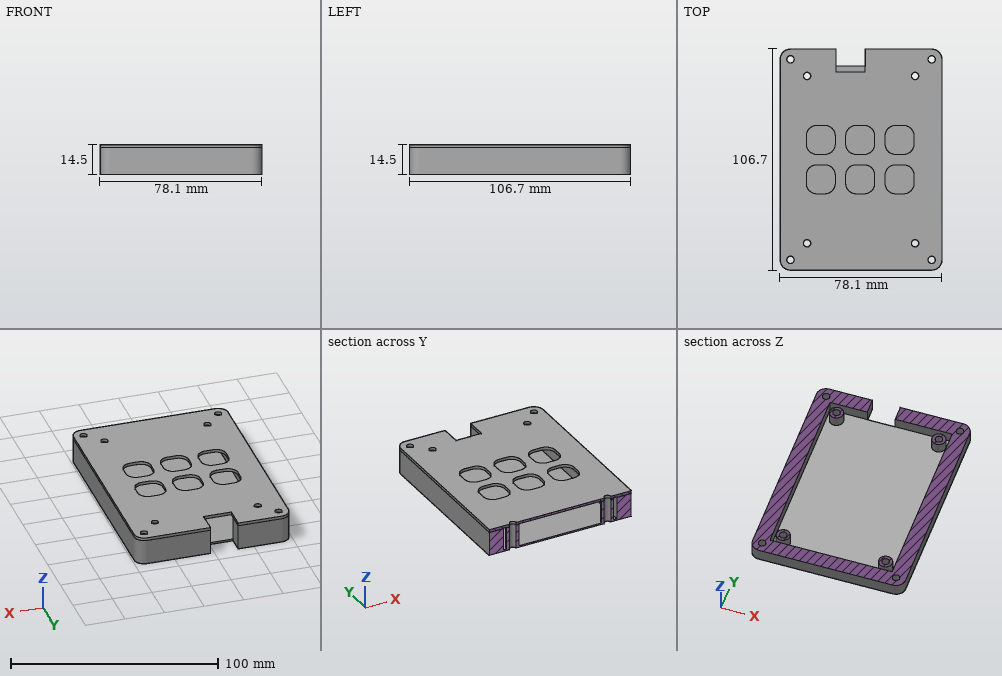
import cadquery as cq

WIDTH = 78.1
LENGTH = 106.7
HEIGHT = 14.5
CORNER_RADIUS = 5.0

COVER_THICKNESS = 1.5
FLOOR_THICKNESS = 1.1
WALL_THICKNESS = 8.1
HOUSING_HEIGHT = HEIGHT - COVER_THICKNESS

HOLE_DIAMETER = 3.4
STANDOFF_DIAMETER = 7.0
STANDOFF_INSET = 13.0

KEY_COLUMNS = 3
KEY_ROWS = 2
KEY_PITCH = 19.0
KEY_SIZE = 14.0
KEY_CORNER_RADIUS = 5.0
KEY_CENTER_X = -0.4

NOTCH_WIDTH = 14.0
NOTCH_CENTER_X = -5.0
COVER_NOTCH_DEPTH = 11.0


def corner_points(inset):
    """Four symmetric points, each set in from both edges of the block."""
    x = WIDTH / 2 - inset
    y = LENGTH / 2 - inset
    return [(-x, -y), (x, -y), (x, y), (-x, y)]


CORNER_HOLES = corner_points(CORNER_RADIUS)
STANDOFF_POINTS = corner_points(STANDOFF_INSET)


def rounded_slab(bottom, height):
    slab = cq.Workplane("XY").workplane(offset=bottom).rect(WIDTH, LENGTH).extrude(height)
    return slab.edges("|Z").fillet(CORNER_RADIUS)


def screw_holes():
    centers = CORNER_HOLES + STANDOFF_POINTS
    return cq.Workplane("XY").pushPoints(centers).circle(HOLE_DIAMETER / 2).extrude(HEIGHT)


def edge_notch(depth):
    """Full-height slot cutter that reaches in from the +Y edge."""
    center_y = LENGTH / 2 - depth / 2
    return cq.Workplane("XY").center(NOTCH_CENTER_X, center_y).rect(NOTCH_WIDTH, depth).extrude(HEIGHT)


def key_windows():
    windows = (
        cq.Workplane("XY")
        .center(KEY_CENTER_X, 0)
        .rarray(KEY_PITCH, KEY_PITCH, KEY_COLUMNS, KEY_ROWS)
        .rect(KEY_SIZE, KEY_SIZE)
        .extrude(HEIGHT)
    )
    return windows.edges("|Z").fillet(KEY_CORNER_RADIUS)


def make_housing():
    """Thick-walled open tray with standoffs that rise to the cover."""
    cavity = (
        cq.Workplane("XY")
        .workplane(offset=FLOOR_THICKNESS)
        .rect(WIDTH - 2 * WALL_THICKNESS, LENGTH - 2 * WALL_THICKNESS)
        .extrude(HOUSING_HEIGHT - FLOOR_THICKNESS)
    )
    standoffs = (
        cq.Workplane("XY")
        .pushPoints(STANDOFF_POINTS)
        .circle(STANDOFF_DIAMETER / 2)
        .extrude(HOUSING_HEIGHT)
    )
    tray = rounded_slab(0, HOUSING_HEIGHT).cut(cavity).union(standoffs)
    return tray.cut(screw_holes()).cut(edge_notch(WALL_THICKNESS))


def make_cover():
    """Flat lid with key windows, screw holes and a deeper connector notch."""
    lid = rounded_slab(HOUSING_HEIGHT, COVER_THICKNESS)
    return lid.cut(screw_holes()).cut(key_windows()).cut(edge_notch(COVER_NOTCH_DEPTH))


housing = make_housing()
cover = make_cover()

result = cq.Compound.makeCompound([housing.val(), cover.val()])